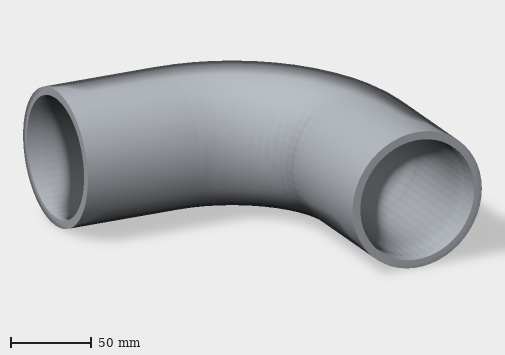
import cadquery as cq

overall_length = 213.0
outer_diameter = 90.0
wall_thickness = 5.3
bend_angle = 90

outer_radius = outer_diameter / 2
inner_radius = outer_radius - wall_thickness
bend_radius = outer_diameter
leg_length = overall_length - bend_radius - outer_radius


def pipe_section(plane):
    """Annular pipe cross-section centred on the given plane."""
    return cq.Workplane(plane).circle(outer_radius).circle(inner_radius)


first_leg = pipe_section("XZ").extrude(-leg_length)

bend_start = cq.Plane(origin=(0, leg_length, 0), xDir=(1, 0, 0), normal=(0, -1, 0))
bend = pipe_section(bend_start).revolve(bend_angle, (bend_radius, 2.1, 0), (bend_radius, 0, 0))

bend_end = cq.Plane(
    origin=(bend_radius, leg_length + bend_radius, 0), xDir=(0, 1, 0), normal=(1, 0, 0)
)
second_leg = pipe_section(bend_end).extrude(leg_length)

result = first_leg.union(bend).union(second_leg)